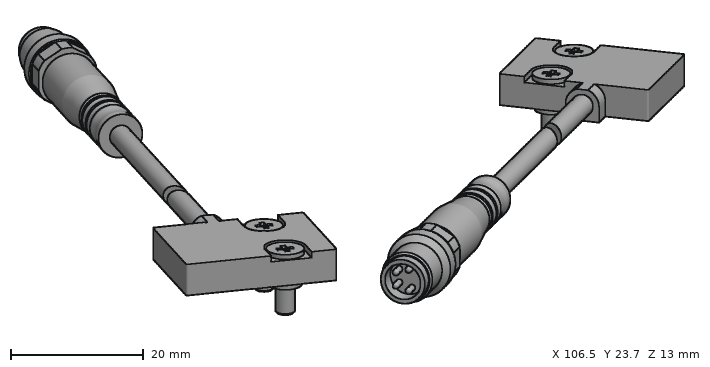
import cadquery as cq
import math


NOSE_DIAMETER = 7.0
NOSE_END = 1.8
THREAD_DIAMETER = 8.0
THREAD_LEAD_IN = 0.3
THREAD_END = 6.8
NUT_DIAMETER = 10.0
NUT_CONE_END = 7.8
NUT_END = 10.4
NUT_BACK_CHAMFER = 0.2
WRENCH_DIAMETER = NUT_DIAMETER - 2 * NUT_BACK_CHAMFER
WRENCH_ACROSS_FLATS = 9.0
WRENCH_END = 13.7
NECK_DIAMETER = 5.9

SOCKET_DIAMETER = 5.6
SOCKET_DEPTH = 2.6
CONTACT_DIAMETER = 1.0
CONTACT_LENGTH = 2.1
CONTACT_TIP_FILLET = 0.4
CONTACT_PLACES = [(1.4, 1.1), (-0.6, 1.7), (1.4, -1.1), (-0.6, -1.7)]

BOOT_START = 14.8
BOOT_DIAMETER = 8.5
BOOT_TAPER_START = 25.0
RIB_DIAMETER = 6.9
RIB_GROUND_DIAMETER = 6.6
RIB_WIDTH = 0.6
RIB_STARTS = [30.6, 32.2, 34.4, 36.6]
BOOT_FLANGE_START = 39.9
BOOT_END = 41.2

CABLE_DIAMETER = 3.4
CABLE_PLUG_CUT = 69.9
CABLE_SENSOR_CUT = 71.9
CABLE_CUT_ANGLE = 30

TOTAL_LENGTH = 106.5
BLOCK_START = 89.0
BLOCK_LENGTH = TOTAL_LENGTH - BLOCK_START
BLOCK_WIDTH = 23.7
BLOCK_HEIGHT = 5.0
BLOCK_TOP = BLOCK_HEIGHT / 2
BLOCK_CENTER_Y = 2.3
BLOCK_CORNER_FILLET = 0.3

COLLAR_START = 86.0
COLLAR_RADIUS = 2.7

SCREW_Y = 7.0
SCREW_EDGE_DISTANCE = 3.3
SCREW_SPACING = 11.0
POCKET_RADIUS = 3.2
POCKET_DEPTH = 1.0
HEAD_DIAMETER = 5.8
HEAD_SINK = 0.2
WASHER_DIAMETER = 5.0
WASHER_THICKNESS = 1.0
SHANK_DIAMETER = 3.0
SHANK_END_Z = -8.0
SHANK_CHAMFER = 0.3
CROSS_LENGTH = 2.6
CROSS_WIDTH = 0.7
CROSS_DEPTH = 0.5


def x_cylinder(diameter, start, end):
    """Cylinder on the X axis from start to end."""
    return cq.Workplane("YZ", origin=(start, 0, 0)).circle(diameter / 2).extrude(end - start)


def make_nose_and_nut():
    """Turned plug nose, thread sleeve, nut and neck, with six wrench flats."""
    nut_radius = NUT_DIAMETER / 2
    turned = (
        cq.Workplane("XY")
        .moveTo(0, 0)
        .lineTo(0, NOSE_DIAMETER / 2)
        .lineTo(NOSE_END, NOSE_DIAMETER / 2)
        .lineTo(NOSE_END, THREAD_DIAMETER / 2 - THREAD_LEAD_IN)
        .lineTo(NOSE_END + THREAD_LEAD_IN, THREAD_DIAMETER / 2)
        .lineTo(THREAD_END, THREAD_DIAMETER / 2)
        .lineTo(NUT_CONE_END, nut_radius)
        .lineTo(NUT_END - NUT_BACK_CHAMFER, nut_radius)
        .lineTo(NUT_END, WRENCH_DIAMETER / 2)
        .lineTo(NUT_END, 0)
        .close()
        .revolve(360, (0, 0, 0), (1, 0, 0))
    )
    across_corners = WRENCH_ACROSS_FLATS / math.cos(math.pi / 6)
    hexagon = (
        cq.Workplane("YZ", origin=(NUT_END, 0, 0))
        .transformed(rotate=(0, 0, 30))
        .polygon(6, across_corners)
        .extrude(WRENCH_END - NUT_END)
    )
    wrench = x_cylinder(WRENCH_DIAMETER, NUT_END, WRENCH_END).intersect(hexagon)
    neck = x_cylinder(NECK_DIAMETER, WRENCH_END, BOOT_START)
    return turned.union(wrench).union(neck)


def make_contacts():
    """Contact pins with rounded tips, standing on the floor of the socket."""
    return (
        cq.Workplane("YZ", origin=(SOCKET_DEPTH - CONTACT_LENGTH, 0, 0))
        .pushPoints(CONTACT_PLACES)
        .circle(CONTACT_DIAMETER / 2)
        .extrude(CONTACT_LENGTH)
        .faces("<X")
        .edges()
        .fillet(CONTACT_TIP_FILLET)
    )


def make_boot():
    """Cylindrical grip, taper and ribbed tail with concave gaps between the ribs."""
    rib_radius = RIB_DIAMETER / 2
    ground_radius = RIB_GROUND_DIAMETER / 2
    profile = (
        cq.Workplane("XY")
        .moveTo(BOOT_START, 0)
        .lineTo(BOOT_START, BOOT_DIAMETER / 2)
        .lineTo(BOOT_TAPER_START, BOOT_DIAMETER / 2)
        .lineTo(RIB_STARTS[0], rib_radius)
    )
    gap_ends = RIB_STARTS[1:] + [BOOT_FLANGE_START]
    for rib_start, gap_end in zip(RIB_STARTS, gap_ends):
        rib_end = rib_start + RIB_WIDTH
        profile = profile.lineTo(rib_end, rib_radius)
        gap_middle = (rib_end + gap_end) / 2
        profile = profile.threePointArc((gap_middle, ground_radius), (gap_end, rib_radius))
    profile = profile.lineTo(BOOT_END, rib_radius).lineTo(BOOT_END, 0).close()
    return profile.revolve(360, (0, 0, 0), (1, 0, 0))


def cable_side(cut_x, direction):
    """Box on one side (+1 or -1 along X) of the slanted cut that crosses the axis at cut_x."""
    size = 10 * CABLE_DIAMETER
    return (
        cq.Workplane("XY")
        .box(size, size, size)
        .translate((direction * size / 2, 0, 0))
        .rotate((0, 0, 0), (0, 0, 1), -CABLE_CUT_ANGLE)
        .translate((cut_x, 0, 0))
    )


def make_plug():
    """Plug with its boot and its half of the cable."""
    reach = CABLE_PLUG_CUT + CABLE_DIAMETER
    cable = x_cylinder(CABLE_DIAMETER, BOOT_END, reach).cut(cable_side(CABLE_PLUG_CUT, 1))
    plug = make_nose_and_nut().union(make_boot()).union(cable)
    plug = plug.cut(x_cylinder(SOCKET_DIAMETER, 0, SOCKET_DEPTH))
    return plug.union(make_contacts())


def make_block():
    """Flat sensor block with rounded vertical corners."""
    return (
        cq.Workplane("XY")
        .box(BLOCK_LENGTH, BLOCK_WIDTH, BLOCK_HEIGHT)
        .edges("|Z")
        .fillet(BLOCK_CORNER_FILLET)
        .translate((BLOCK_START + BLOCK_LENGTH / 2, BLOCK_CENTER_Y, 0))
    )


def make_collar():
    """Cable collar: round above, square below, level with the block top and bottom."""
    length = BLOCK_START - COLLAR_START
    side = 2 * COLLAR_RADIUS
    square = cq.Workplane("XY").box(length, side, BLOCK_HEIGHT)
    square = square.translate((COLLAR_START + length / 2, 0, 0))
    lower = square.intersect(square.translate((0, 0, -BLOCK_TOP)))
    upper = x_cylinder(side, COLLAR_START, BLOCK_START).intersect(square)
    return lower.union(upper)


def make_pocket(screw_x, edge_x):
    """Screw pocket, open to the block side at edge_x."""
    floor = cq.Workplane("XY", origin=(0, SCREW_Y, BLOCK_TOP - POCKET_DEPTH))
    round_end = floor.center(screw_x, 0).circle(POCKET_RADIUS).extrude(POCKET_DEPTH)
    run = floor.center((screw_x + edge_x) / 2, 0)
    run = run.rect(abs(edge_x - screw_x), 2 * POCKET_RADIUS).extrude(POCKET_DEPTH)
    return round_end.union(run)


def make_screw(screw_x):
    """Screw head in the pocket, and the washer and shank below the block."""
    bottom = -BLOCK_TOP
    head = (
        cq.Workplane("XY", origin=(screw_x, SCREW_Y, BLOCK_TOP - POCKET_DEPTH))
        .circle(HEAD_DIAMETER / 2)
        .extrude(POCKET_DEPTH - HEAD_SINK)
    )
    cross = cq.Workplane("XY", origin=(screw_x, SCREW_Y, BLOCK_TOP - HEAD_SINK - CROSS_DEPTH))
    for size in [(CROSS_LENGTH, CROSS_WIDTH), (CROSS_WIDTH, CROSS_LENGTH)]:
        head = head.cut(cross.rect(*size).extrude(CROSS_DEPTH))
    under = cq.Workplane("XY", origin=(screw_x, SCREW_Y, bottom))
    washer = under.circle(WASHER_DIAMETER / 2).extrude(-WASHER_THICKNESS)
    shank = under.circle(SHANK_DIAMETER / 2).extrude(SHANK_END_Z - bottom)
    shank = shank.faces("<Z").chamfer(SHANK_CHAMFER)
    return head.union(washer).union(shank)


def make_sensor():
    """Sensor block with its collar, screws and half of the cable."""
    reach = CABLE_SENSOR_CUT - CABLE_DIAMETER
    cable = x_cylinder(CABLE_DIAMETER, reach, COLLAR_START).cut(cable_side(CABLE_SENSOR_CUT, -1))
    sensor = make_block().union(make_collar()).union(cable)
    first_screw_x = BLOCK_START + SCREW_EDGE_DISTANCE
    screw_places = [
        (first_screw_x, BLOCK_START),
        (first_screw_x + SCREW_SPACING, TOTAL_LENGTH),
    ]
    for screw_x, edge_x in screw_places:
        sensor = sensor.cut(make_pocket(screw_x, edge_x))
        sensor = sensor.union(make_screw(screw_x))
    return sensor


plug = make_plug()
sensor = make_sensor()

result = cq.Compound.makeCompound([plug.val(), sensor.val()])